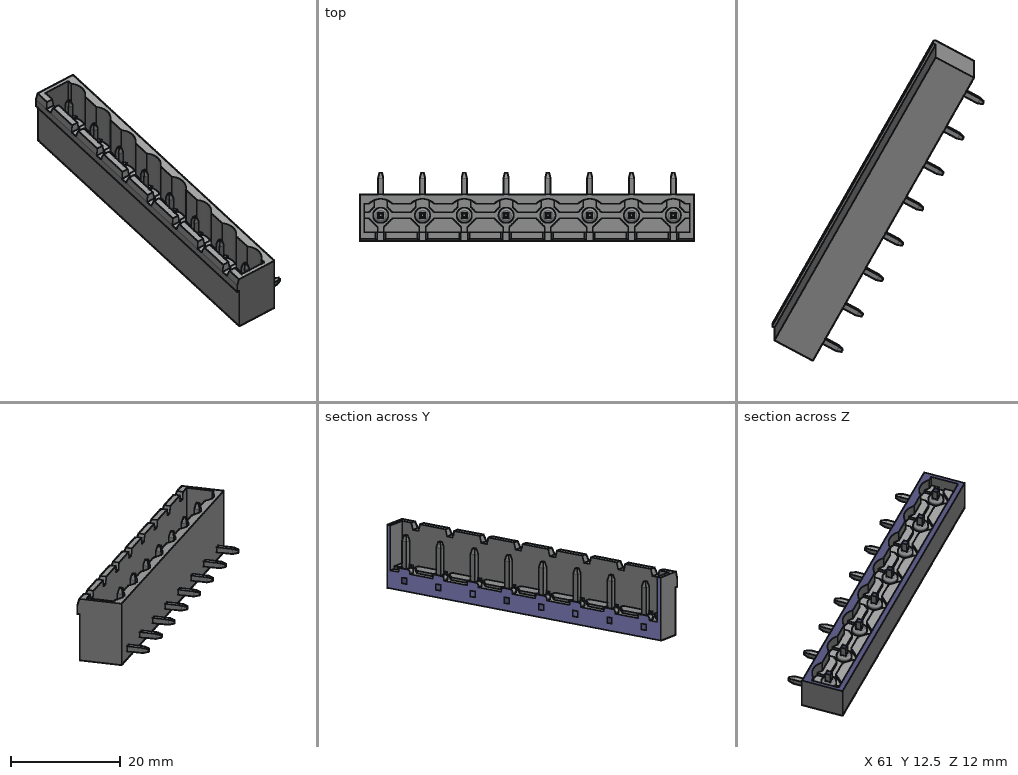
import cadquery as cq
import math

pin_count = 8
pitch = 7.62
length = pin_count * pitch
height = 12.0

lip_overhang = 0.5
lip_height = 3.0
lip_chamfer_depth = 0.4
lip_chamfer_height = 1.3
back_y = 8.5

end_wall = 0.8
cavity_front_y = 1.6
cavity_back_y = 6.8
floor_z = 3.5
pin_y = 4.7
bay_radius = 3.0

pad_height = 0.5
channel_half_width = 0.55
rear_channel_half_width = 1.2
channel_corner_reach = 2.7

boss_diameter = 2.8
boss_height = 0.8
boss_round = 0.5

notch_depth = lip_chamfer_height
notch_floor_width = 1.2
notch_top_width = 1.9

pin_width = 1.0
tail_z = 2.0
tail_length = 4.0
contact_tip_z = 10.5
taper_length = 1.0
tip_width = 0.5

pin_positions = [(i - (pin_count - 1) / 2) * pitch for i in range(pin_count)]
cavity_half_length = length / 2 - end_wall


def make_shell():
    """Solid block with the chamfered lip along the top of the front wall."""
    profile = [
        (lip_overhang, 0),
        (back_y, 0),
        (back_y, height),
        (lip_chamfer_depth, height),
        (0, height - lip_chamfer_height),
        (0, height - lip_height),
        (lip_overhang, height - lip_height),
    ]
    return cq.Workplane("YZ").polyline(profile).close().extrude(length / 2, both=True)


def make_cavity():
    """Volume of the mating cavity, down to the channel floor."""
    depth = height - floor_z
    cavity = cq.Workplane("XY", origin=(0, cavity_front_y, floor_z)).box(
        2 * cavity_half_length, cavity_back_y - cavity_front_y, depth, centered=(True, False, False)
    )
    for x in pin_positions:
        bay = cq.Workplane("XY", origin=(x, pin_y, floor_z)).circle(bay_radius).extrude(depth)
        cavity = cavity.union(bay)
    return cavity


def make_channels():
    """Volume of the channels between the floor pads: one along the row, and one across it at each pin."""
    inner = channel_half_width
    outer = rear_channel_half_width
    reach = channel_corner_reach
    channels = cq.Workplane("XY", origin=(0, pin_y, floor_z)).rect(
        2 * cavity_half_length, 2 * inner
    ).extrude(pad_height)
    outline = [
        (reach - inner, -inner),
        (reach - inner, inner),
        (outer, reach - outer),
        (outer, bay_radius),
        (-outer, bay_radius),
        (-outer, reach - outer),
        (inner - reach, inner),
        (inner - reach, -inner),
        (-inner, inner - reach),
        (-inner, cavity_front_y - pin_y),
        (inner, cavity_front_y - pin_y),
        (inner, inner - reach),
    ]
    for x in pin_positions:
        cross = cq.Workplane("XY", origin=(x, pin_y, floor_z)).polyline(outline).close().extrude(pad_height)
        channels = channels.union(cross)
    return channels


def make_pads(cavity):
    """Raised floor areas that fill the bottom of the cavity outside the channels."""
    layer = cq.Workplane("XY", origin=(0, back_y / 2, floor_z)).box(
        length, back_y, pad_height, centered=(True, True, False)
    )
    return cavity.intersect(layer).cut(make_channels())


def make_boss(x):
    """Round boss on the floor with a rounded top rim."""
    boss = cq.Workplane("XY", origin=(x, pin_y, floor_z)).circle(boss_diameter / 2).extrude(boss_height)
    return boss.faces(">Z").edges().fillet(boss_round)


def make_notch(x):
    """Notch through the front wall that widens towards the top."""
    floor = height - notch_depth
    outline = [
        (-notch_floor_width / 2, floor),
        (notch_floor_width / 2, floor),
        (notch_top_width / 2, height),
        (-notch_top_width / 2, height),
    ]
    return cq.Workplane("XZ", origin=(x, 0, 0)).polyline(outline).close().extrude(-cavity_front_y)


def make_tapered_end(plane):
    """Square taper from the full pin section to the blunt tip, starting on the given plane."""
    taper_angle = math.degrees(math.atan((pin_width - tip_width) / 2 / taper_length))
    return cq.Workplane(plane).rect(pin_width, pin_width).extrude(taper_length, taper=taper_angle)


def make_pin(x):
    """Right-angle pin: contact leg pointing up in the cavity, solder tail pointing out of the back."""
    bend_z = tail_z - pin_width / 2
    shoulder_z = contact_tip_z - taper_length
    shoulder_y = back_y + tail_length - taper_length
    leg = cq.Workplane("XY", origin=(x, pin_y, bend_z)).rect(pin_width, pin_width)
    leg = leg.extrude(shoulder_z - bend_z)
    tail = cq.Workplane("XZ", origin=(x, pin_y, tail_z)).rect(pin_width, pin_width)
    tail = tail.extrude(pin_y - shoulder_y)
    leg_end = make_tapered_end(cq.Plane(origin=(x, pin_y, shoulder_z), normal=(0, 0, 1), xDir=(1, 0, 0)))
    tail_end = make_tapered_end(cq.Plane(origin=(x, shoulder_y, tail_z), normal=(0, 1, 0), xDir=(1, 0, 0)))
    return leg.union(tail).union(leg_end).union(tail_end)


def make_housing(pins):
    """Shell with its cavity, floor pads, bosses and notches, and a fitting passage for every pin."""
    cavity = make_cavity()
    housing = make_shell().cut(cavity).union(make_pads(cavity))
    for x in pin_positions:
        housing = housing.union(make_boss(x)).cut(make_notch(x))
    for pin in pins:
        housing = housing.cut(pin)
    return housing


pins = [make_pin(x) for x in pin_positions]
housing = make_housing(pins)

result = cq.Compound.makeCompound([housing.val(), *[pin.val() for pin in pins]])